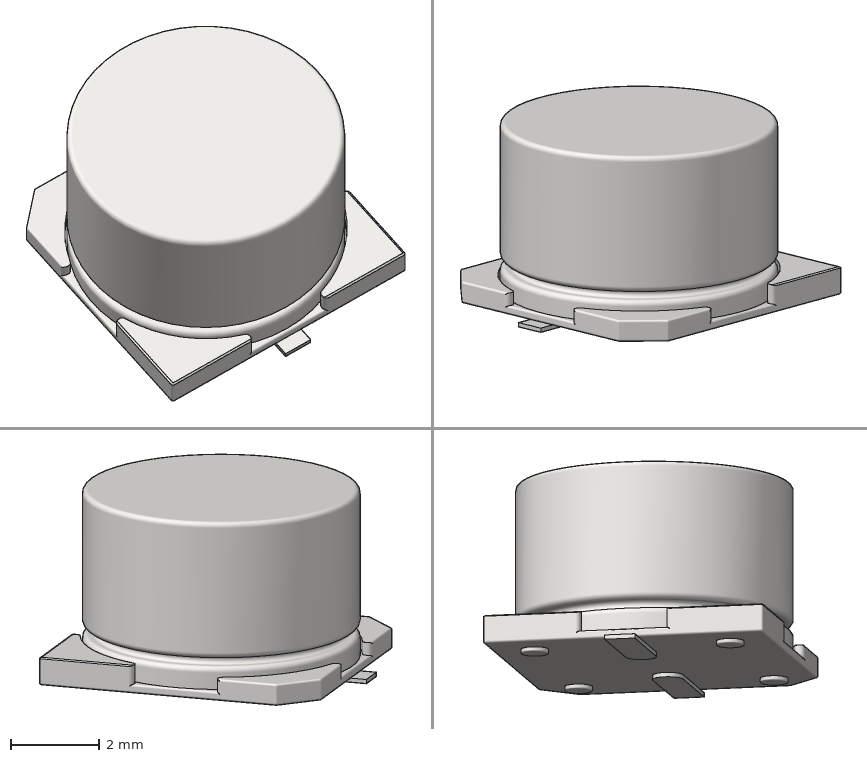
import cadquery as cq
import math

can_diameter = 6.3
can_radius = can_diameter / 2
total_height = 4.19
top_rounding = 0.12
crimp_height = 0.91
crimp_radius = 0.1
crimp_lip_rounding = 0.13
crimp_lip_flat = 0.08

terminal_thickness = 0.1
base_side = 6.5
base_half = base_side / 2
base_corner_cut = 0.8
base_edge_rounding = 0.05
base_bottom = terminal_thickness
floor_height = 0.295
low_post_height = 0.595
high_post_height = 0.745
can_clearance = 0.05
post_bore_radius = can_radius + can_clearance
side_opening = 2.0
post_tip_rounding = 0.1
high_post_bevel_drop = 0.025
high_post_bevel_width = 0.048

terminal_span = 7.2
terminal_length = 2.55
terminal_width = 0.7
foot_diameter = 0.63
foot_offset = 2.27
foot_edge_rounding = 0.025


def make_can():
    """Can with rounded top edge and a rounded crimp groove."""
    diagonal = math.sqrt(0.5)
    groove_top = crimp_height + crimp_radius
    groove_bottom = crimp_height - crimp_radius
    lip_radius = can_radius - crimp_lip_rounding
    groove_center_radius = lip_radius - crimp_lip_flat
    lip_mid_radius = lip_radius + crimp_lip_rounding * diagonal
    lip_mid_rise = crimp_lip_rounding * (1 - diagonal)
    top_flat_radius = can_radius - top_rounding
    top_mid_radius = top_flat_radius + top_rounding * diagonal
    top_mid_height = total_height - top_rounding * (1 - diagonal)
    profile = (
        cq.Workplane("XZ")
        .moveTo(0, floor_height)
        .lineTo(can_radius, floor_height)
        .lineTo(can_radius, groove_bottom - crimp_lip_rounding)
        .threePointArc((lip_mid_radius, groove_bottom - lip_mid_rise), (lip_radius, groove_bottom))
        .lineTo(groove_center_radius, groove_bottom)
        .threePointArc(
            (groove_center_radius - crimp_radius, crimp_height),
            (groove_center_radius, groove_top),
        )
        .lineTo(lip_radius, groove_top)
        .threePointArc(
            (lip_mid_radius, groove_top + lip_mid_rise),
            (can_radius, groove_top + crimp_lip_rounding),
        )
        .lineTo(can_radius, total_height - top_rounding)
        .threePointArc((top_mid_radius, top_mid_height), (top_flat_radius, total_height))
        .lineTo(0, total_height)
        .close()
    )
    return profile.revolve(360, (0, 0, 0), (0, 1, 0))


def make_plate(top_height, bevel_drop=None):
    """Base outline raised to top_height with rounded edges, or a shallow bevel on the top edge."""
    plate = (
        cq.Workplane("XY")
        .workplane(offset=base_bottom)
        .rect(base_side, base_side)
        .extrude(top_height - base_bottom)
        .edges("|Z and <X")
        .chamfer(base_corner_cut)
    )
    if bevel_drop is None:
        return plate.edges().fillet(base_edge_rounding)
    plate = plate.edges("not >Z").fillet(base_edge_rounding)
    return plate.faces(">Z").edges().chamfer(bevel_drop, high_post_bevel_width)


def make_post(x_sign, y_sign, plate, top_height):
    """Corner post hugging the can, with rounded tips at the side openings."""
    opening_half = side_opening / 2
    post_side = base_half - opening_half
    post_center = (base_half + opening_half) / 2
    block = (
        cq.Workplane("XY")
        .workplane(offset=base_bottom)
        .center(x_sign * post_center, y_sign * post_center)
        .rect(post_side, post_side)
        .extrude(top_height - base_bottom)
    )
    bore = cq.Workplane("XY").circle(post_bore_radius).extrude(total_height)
    outermost = cq.selectors.NearestToPointSelector(
        (x_sign * base_half, y_sign * base_half, (base_bottom + top_height) / 2)
    )
    tips = cq.selectors.SubtractSelector(cq.selectors.StringSyntaxSelector("|Z"), outermost)
    block = block.cut(bore).edges(tips).fillet(post_tip_rounding)
    return block.intersect(plate)


def make_base():
    """Floor plate with a post at each corner."""
    base = make_plate(floor_height)
    low_plate = make_plate(low_post_height)
    high_plate = make_plate(high_post_height, high_post_bevel_drop)
    for y_sign in (-1, 1):
        base = base.union(make_post(-1, y_sign, low_plate, low_post_height))
        base = base.union(make_post(1, y_sign, high_plate, high_post_height))
    return base


def make_terminal(x_sign):
    """Flat terminal with a round inner end, reaching out past the base."""
    outer_end = terminal_span / 2
    round_center = outer_end - terminal_length + terminal_width / 2
    strip = (
        cq.Workplane("XY")
        .center(x_sign * (outer_end + round_center) / 2, 0)
        .rect(outer_end - round_center, terminal_width)
        .extrude(terminal_thickness)
    )
    inner_end = (
        cq.Workplane("XY")
        .center(x_sign * round_center, 0)
        .circle(terminal_width / 2)
        .extrude(terminal_thickness)
    )
    return strip.union(inner_end)


def make_feet():
    """Four round standoff feet, one under each corner."""
    return (
        cq.Workplane("XY")
        .rect(2 * foot_offset, 2 * foot_offset, forConstruction=True)
        .vertices()
        .circle(foot_diameter / 2)
        .extrude(terminal_thickness)
        .faces("<Z")
        .edges()
        .fillet(foot_edge_rounding)
    )


result = make_base().union(make_can()).union(make_feet())
for side in (-1, 1):
    result = result.union(make_terminal(side))